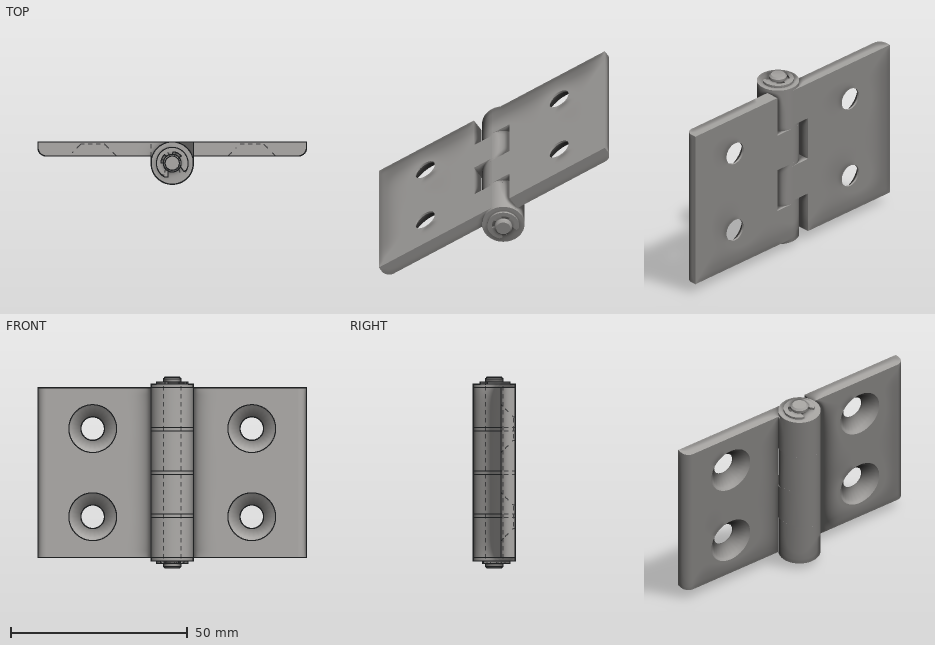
import cadquery as cq
import math

hinge_width = 76.0
pin_length = 54.0
leaf_height = 48.0
leaf_thickness = 4.0
leaf_edge_radius = 2.4
barrel_diameter = 12.0
barrel_radius = barrel_diameter / 2

knuckle_count = 4
washer_thickness = 1.0
knuckle_height = (leaf_height - (knuckle_count - 1) * washer_thickness) / knuckle_count
knuckle_pitch = knuckle_height + washer_thickness

screw_hole_diameter = 6.6
countersink_diameter = 13.5
countersink_angle = 90.0
screw_spacing_x = 45.0
screw_spacing_z = 24.9

pin_diameter = 5.0
pin_chamfer = 0.5
groove_diameter = 4.0

clip_thickness = 0.7
clip_diameter = 9.0
window_diameter = 6.45
window_end_angle = 70.0
tab_half_width_inner = 0.6
tab_half_width_outer = 1.45
tip_corner_x = 2.35
tip_corner_y = 3.35
opening_wall_angle = 16.0
top_clip_turn = 19.0
bottom_clip_turn = 0.0

washer_stack_top = leaf_height / 2 + washer_thickness


def cylinder(diameter, height, bottom):
    """A cylinder on the pin axis, standing on the given height."""
    return cq.Workplane("XY").workplane(offset=bottom).circle(diameter / 2).extrude(height)


def make_plate():
    """The flat part of the -X leaf, its outer front edge rounded, with the screw holes."""
    plate = (
        cq.Workplane("XY")
        .box(hinge_width / 2 - barrel_radius, leaf_thickness, leaf_height, centered=(False, False, True))
        .translate((-hinge_width / 2, barrel_radius - leaf_thickness, 0))
        .edges("|Z and <X and <Y")
        .fillet(leaf_edge_radius)
    )
    half_spacing_z = screw_spacing_z / 2
    return (
        plate.faces("<Y")
        .workplane(origin=(-screw_spacing_x / 2, 0, 0))
        .pushPoints([(0, half_spacing_z), (0, -half_spacing_z)])
        .cskHole(screw_hole_diameter, countersink_diameter, countersink_angle)
    )


def make_knuckle(bottom):
    """A round knuckle whose quarter next to the plate is filled out square."""
    diagonal = barrel_radius * math.sqrt(0.5)
    return (
        cq.Workplane("XY")
        .workplane(offset=bottom)
        .moveTo(-barrel_radius, 0)
        .lineTo(-barrel_radius, barrel_radius)
        .lineTo(0, barrel_radius)
        .threePointArc((diagonal, -diagonal), (-barrel_radius, 0))
        .close()
        .extrude(knuckle_height)
    )


def make_leaf():
    """The -X leaf: it carries every second knuckle, starting with the topmost one."""
    leaf = make_plate()
    for level in range(knuckle_count - 1, 0, -2):
        leaf = leaf.union(make_knuckle(-leaf_height / 2 + level * knuckle_pitch))
    return leaf.cut(cylinder(pin_diameter, leaf_height, -leaf_height / 2))


def make_washers():
    """Washers below, between and above the knuckles."""
    washers = []
    for level in range(knuckle_count + 1):
        bottom = -washer_stack_top + level * knuckle_pitch
        disc = cylinder(barrel_diameter, washer_thickness, bottom)
        washers.append(disc.cut(cylinder(pin_diameter, washer_thickness, bottom)))
    return washers


def make_pin():
    """The pin, chamfered at both ends, with a groove for each clip beside the end washers."""
    pin = cylinder(pin_diameter, pin_length, -pin_length / 2).faces("<Z or >Z").chamfer(pin_chamfer)
    for groove_bottom in (washer_stack_top, -washer_stack_top - clip_thickness):
        collar = cylinder(pin_diameter, clip_thickness, groove_bottom)
        pin = pin.cut(collar.cut(cylinder(groove_diameter, clip_thickness, groove_bottom)))
    return pin


def symmetric_plate(right_side, bottom):
    """A plate of clip thickness; its outline is the given points and their mirror image in X."""
    left_side = [(-x, y) for x, y in reversed(right_side) if x > 0]
    outline = cq.Workplane("XY").workplane(offset=bottom).polyline(right_side + left_side).close()
    return outline.extrude(clip_thickness)


def make_clip(bottom, turn):
    """A clip whose tab is on the +Y side and whose opening faces -Y before it is turned."""
    clip_radius = clip_diameter / 2
    groove_radius = groove_diameter / 2
    window_radius = window_diameter / 2

    end_angle = math.radians(window_end_angle)
    end_x = clip_radius * math.sin(end_angle)
    end_y = clip_radius * math.cos(end_angle)
    sector = symmetric_plate([(0, 0), (end_x, end_y), (end_x, clip_radius)], bottom)
    tab = symmetric_plate(
        [
            (tab_half_width_inner, 0),
            (tab_half_width_inner, groove_radius),
            (tab_half_width_outer, window_radius),
        ],
        bottom,
    )
    windows = cylinder(window_diameter, clip_thickness, bottom).intersect(sector).cut(tab)

    wall_slope = math.tan(math.radians(opening_wall_angle))
    opening = symmetric_plate(
        [
            (tip_corner_x - tip_corner_y * wall_slope, 0),
            (tip_corner_x, -tip_corner_y),
            (clip_radius, -tip_corner_y + (clip_radius - tip_corner_x) * wall_slope),
            (clip_radius, -clip_radius),
        ],
        bottom,
    )

    clip = cylinder(clip_diameter, clip_thickness, bottom)
    clip = clip.cut(cylinder(groove_diameter, clip_thickness, bottom)).cut(windows).cut(opening)
    return clip.rotate((0, 0, 0), (0, 0, 1), turn)


left_leaf = make_leaf()
right_leaf = left_leaf.rotate((0, 0, 0), (0, 1, 0), 180)
washers = make_washers()
pin = make_pin()
top_clip = make_clip(washer_stack_top, top_clip_turn)
bottom_clip = make_clip(-washer_stack_top - clip_thickness, bottom_clip_turn)

result = cq.Compound.makeCompound([
    left_leaf.val(),
    right_leaf.val(),
    *[washer.val() for washer in washers],
    pin.val(),
    top_clip.val(),
    bottom_clip.val(),
])